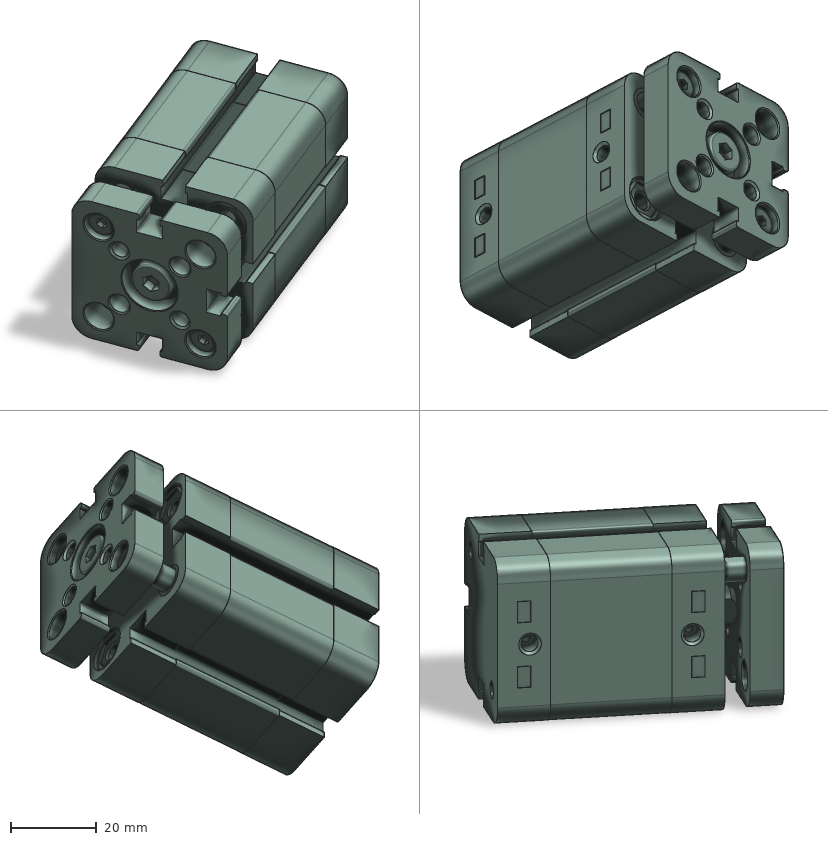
import cadquery as cq
import math


TOTAL_LENGTH = 68.0
PLATE_THICKNESS = 8.0
ROD_GAP = 6.0
CAP_LENGTH = 12.6

BODY_SIZE = 40.3
TUBE_SIZE = 40.25
PLATE_SIZE = 39.7
CORNER_RADIUS = 5.0

PLATE_FRONT = -TOTAL_LENGTH / 2
PLATE_BACK = PLATE_FRONT + PLATE_THICKNESS
BODY_FRONT = PLATE_BACK + ROD_GAP
TUBE_FRONT = BODY_FRONT + CAP_LENGTH
BODY_BACK = TOTAL_LENGTH / 2
TUBE_BACK = BODY_BACK - CAP_LENGTH

SLOT_FLOOR = 14.5
CAP_SLOT_FLOOR = 14.6
SLOT_LIP = 18.15
SLOT_WIDTH = 6.7
TUBE_NECK_WIDTH = 5.3
CAP_NECK_WIDTH = 5.7
MOUTH_ROUND = 0.7
LIP_ROUND = 0.35
FLOOR_ROUND = 0.35
SLOT_ANGLES = (0, 90, 180)

CORNER_OFFSET = 13.0
PIN_CORNERS = ((-CORNER_OFFSET, CORNER_OFFSET), (CORNER_OFFSET, -CORNER_OFFSET))
BOLT_CORNERS = ((CORNER_OFFSET, CORNER_OFFSET), (-CORNER_OFFSET, -CORNER_OFFSET))
PIN_DIAMETER = 6.0
PIN_SEAL_DIAMETER = 8.0
PIN_SEAL_DEPTH = 0.1
CORNER_BORE_DIAMETER = 7.5
CORNER_BORE_CHAMFER = 0.3
PIN_BORE_DEPTH = 6.0
PIN_SCREW_DIAMETER = 7.0
PIN_SCREW_RECESS = 1.8
PIN_SCREW_ROUND = 0.4
PIN_SCREW_HEX = 2.5

BOLT_HEAD_DIAMETER = 11.1
BOLT_HEAD_CHAMFER = 0.55
BOLT_HEX = 8.0
BOLT_HEAD_RECESS = 0.55
BOLT_SOCKET_FLOOR = 1.3
BOLT_BORE_DIAMETER = 4.15
BOLT_BORE_CHAMFER = 0.5

MOUNT_OFFSET = 7.75
THREAD_CORNERS = ((-MOUNT_OFFSET, MOUNT_OFFSET), (MOUNT_OFFSET, -MOUNT_OFFSET))
DOWEL_CORNERS = ((MOUNT_OFFSET, MOUNT_OFFSET), (-MOUNT_OFFSET, -MOUNT_OFFSET))
THREAD_DIAMETER = 4.15
DOWEL_DIAMETER = 5.0
THREAD_CHAMFER = 0.55
DOWEL_CHAMFER = 0.35

ROD_DIAMETER = 10.0
ROD_FLATS = 8.0
ROD_FLAT_LENGTH = 3.3
ROD_TIP_LENGTH = 1.35
ROD_TIP_ANGLE = 30
CENTRE_BORE_DIAMETER = 14.2
CENTRE_BORE_CHAMFER = 0.2
CENTRE_BORE_DEPTH = 5.0
CENTRE_SCREW_DIAMETER = 10.0
CENTRE_SCREW_RECESS = 0.8
CENTRE_SCREW_ROUND = 0.5
CENTRE_SCREW_HEX = 4.0
HEX_DEPTH_RATIO = 0.65
DRILL_HALF_ANGLE = 60

PORT_INSET = 7.7
PORT_DIAMETER = 4.0
PORT_CHAMFER = 0.7
PORT_DEPTH = 5.0
PORT_PASSAGE_DIAMETER = 2.0
PORT_PASSAGE_DEPTH = 8.0
PANEL_INSET = 6.3
PANEL_WIDTH = 3.1
PANEL_HEIGHT = 5.2
PANEL_OFFSET = 7.95
PANEL_DEPTH = 0.2


def plane_at(y):
    """Sketch plane across the axis at y: local x is X, local y is Z, its normal points to -Y."""
    return cq.Plane(origin=(0, y, 0), xDir=(1, 0, 0), normal=(0, -1, 0))


def cylinder(x, z, diameter, front, back):
    return cq.Workplane(plane_at(back)).center(x, z).circle(diameter / 2).extrude(back - front)


def cone(x, z, front_diameter, back_diameter, front, back):
    solid = cq.Solid.makeCone(
        front_diameter / 2, back_diameter / 2, back - front, cq.Vector(x, front, z), cq.Vector(0, 1, 0)
    )
    return cq.Workplane(solid)


def chamfered_hole(x, z, diameter, chamfer, front, back):
    """Round hole with a 45 degree chamfer at its front end."""
    lead_in = cone(x, z, diameter + 2 * chamfer, diameter, front, front + chamfer)
    return cylinder(x, z, diameter, front, back).union(lead_in)


def hexagon(x, z, across_flats, front, back, turn):
    corner_diameter = across_flats / math.cos(math.pi / 6)
    prism = cq.Workplane(plane_at(back)).polygon(6, corner_diameter).extrude(back - front)
    return prism.rotate((0, 0, 0), (0, 1, 0), turn).translate((x, 0, z))


def screw_head(x, z, diameter, rim_round, hex_size, front, back):
    """Cap screw head with a rounded rim and a hexagon socket that ends in a cone."""
    head = cylinder(x, z, diameter, front, back).faces("<Y").edges().fillet(rim_round)
    socket_end = front + hex_size * HEX_DEPTH_RATIO
    corner_diameter = hex_size / math.cos(math.pi / 6)
    socket_tip = socket_end + corner_diameter / 2 / math.tan(math.radians(DRILL_HALF_ANGLE))
    drill = cylinder(x, z, corner_diameter, front, socket_end)
    drill = drill.union(cone(x, z, corner_diameter, 0, socket_end, socket_tip))
    return head.cut(hexagon(x, z, hex_size, front, socket_tip, 30).intersect(drill))


def slot_cutter(size, neck_width, floor, front, back):
    """One T-slot on the +Z side of a square section, with rounded undersides of its lips."""
    top = size / 2
    neck = neck_width / 2
    half = SLOT_WIDTH / 2
    sketch = cq.Workplane(plane_at(back)).moveTo(-half, floor).lineTo(half, floor)
    sketch = sketch.lineTo(half, SLOT_LIP).lineTo(neck + LIP_ROUND, SLOT_LIP)
    sketch = sketch.radiusArc((neck, SLOT_LIP + LIP_ROUND), LIP_ROUND).lineTo(neck, top)
    sketch = sketch.lineTo(-neck, top).lineTo(-neck, SLOT_LIP + LIP_ROUND)
    sketch = sketch.radiusArc((-neck - LIP_ROUND, SLOT_LIP), LIP_ROUND).lineTo(-half, SLOT_LIP)
    return sketch.close().extrude(back - front)


def mouth_cutter(size, neck_width, front, back):
    """Widening of a slot mouth by two rounded lip edges."""
    top = size / 2
    neck = neck_width / 2
    rim = neck + MOUTH_ROUND
    shoulder = top - MOUTH_ROUND
    sketch = cq.Workplane(plane_at(back)).moveTo(-neck, shoulder).lineTo(neck, shoulder)
    sketch = sketch.radiusArc((rim, top), MOUTH_ROUND).lineTo(-rim, top)
    return sketch.radiusArc((-neck, shoulder), MOUTH_ROUND).close().extrude(back - front)


def slotted_block(size, slot, front, back):
    """Rounded square bar with the same slot on three sides."""
    block = cq.Workplane(plane_at(back)).rect(size, size).extrude(back - front)
    block = block.edges("|Y").fillet(CORNER_RADIUS)
    for angle in SLOT_ANGLES:
        block = block.cut(slot.rotate((0, 0, 0), (0, 1, 0), angle))
    return block


def profile_bar(size, front, back):
    """Bar with the rounded slots of the tube and the plate."""
    slot = slot_cutter(size, TUBE_NECK_WIDTH, SLOT_FLOOR, front, back)
    slot = slot.edges("|Y and <Z").fillet(FLOOR_ROUND)
    slot = slot.union(mouth_cutter(size, TUBE_NECK_WIDTH, front, back))
    return slotted_block(size, slot, front, back)


def end_cap(front, back):
    slot = slot_cutter(BODY_SIZE, CAP_NECK_WIDTH, CAP_SLOT_FLOOR, front, back)
    return slotted_block(BODY_SIZE, slot, front, back)


def port(y):
    """Air port drilled into the -X side at y."""
    def drill(diameter, depth):
        return cq.Workplane("YZ", origin=(-BODY_SIZE / 2, y, 0)).circle(diameter / 2).extrude(depth)

    mouth = cq.Workplane("YZ", origin=(-BODY_SIZE / 2, y, 0)).circle(PORT_DIAMETER / 2 + PORT_CHAMFER)
    mouth = mouth.extrude(PORT_CHAMFER, taper=45)
    passage = drill(PORT_PASSAGE_DIAMETER, PORT_PASSAGE_DEPTH)
    return drill(PORT_DIAMETER, PORT_DEPTH).union(mouth).union(passage)


def panel(y, z):
    """Shallow marking panel sunk into the -X side."""
    sketch = cq.Workplane("YZ", origin=(-BODY_SIZE / 2, y, z))
    return sketch.rect(PANEL_WIDTH, PANEL_HEIGHT).extrude(PANEL_DEPTH)


def cut_bolt(x, z, body):
    """Recess a hollow bolt into the front cap: chamfered head, hexagon socket and a bore to the back."""
    rim_diameter = BOLT_HEAD_DIAMETER - 2 * BOLT_HEAD_CHAMFER
    head_front = BODY_FRONT + BOLT_HEAD_RECESS
    rim_back = head_front + BOLT_HEAD_CHAMFER
    recess = cylinder(x, z, BOLT_HEAD_DIAMETER, BODY_FRONT, rim_back)
    recess = recess.cut(cone(x, z, rim_diameter, BOLT_HEAD_DIAMETER, head_front, rim_back))
    socket_floor = BODY_FRONT + BOLT_SOCKET_FLOOR
    body = body.cut(recess).cut(hexagon(x, z, BOLT_HEX, head_front, socket_floor, 0))
    return body.cut(chamfered_hole(x, z, BOLT_BORE_DIAMETER, BOLT_BORE_CHAMFER, socket_floor, BODY_BACK))


def make_body():
    body = profile_bar(TUBE_SIZE, TUBE_FRONT, TUBE_BACK)
    for front, back in ((BODY_FRONT, TUBE_FRONT), (TUBE_BACK, BODY_BACK)):
        body = body.union(end_cap(front, back))
    for x, z in BOLT_CORNERS:
        body = cut_bolt(x, z, body)
    for x, z in PIN_CORNERS:
        seal_floor = BODY_FRONT + PIN_SEAL_DEPTH
        body = body.cut(cylinder(x, z, PIN_SEAL_DIAMETER, BODY_FRONT, seal_floor))
    for port_y in (BODY_FRONT + PORT_INSET, BODY_BACK - PORT_INSET):
        body = body.cut(port(port_y))
    for panel_y in (BODY_FRONT + PANEL_INSET, BODY_BACK - PANEL_INSET):
        for panel_z in (-PANEL_OFFSET, PANEL_OFFSET):
            body = body.cut(panel(panel_y, panel_z))
    return body


def make_plate():
    plate = profile_bar(PLATE_SIZE, PLATE_FRONT, PLATE_BACK)
    for x, z in THREAD_CORNERS:
        plate = plate.cut(chamfered_hole(x, z, THREAD_DIAMETER, THREAD_CHAMFER, PLATE_FRONT, PLATE_BACK))
    for x, z in DOWEL_CORNERS:
        plate = plate.cut(chamfered_hole(x, z, DOWEL_DIAMETER, DOWEL_CHAMFER, PLATE_FRONT, PLATE_BACK))
    for x, z in BOLT_CORNERS:
        plate = plate.cut(
            chamfered_hole(x, z, CORNER_BORE_DIAMETER, CORNER_BORE_CHAMFER, PLATE_FRONT, PLATE_BACK)
        )

    for x, z in PIN_CORNERS:
        bore_floor = PLATE_FRONT + PIN_BORE_DEPTH
        plate = plate.cut(
            chamfered_hole(x, z, CORNER_BORE_DIAMETER, CORNER_BORE_CHAMFER, PLATE_FRONT, bore_floor)
        )
        head_front = PLATE_FRONT + PIN_SCREW_RECESS
        plate = plate.union(
            screw_head(x, z, PIN_SCREW_DIAMETER, PIN_SCREW_ROUND, PIN_SCREW_HEX, head_front, bore_floor)
        )

    centre_floor = PLATE_FRONT + CENTRE_BORE_DEPTH
    plate = plate.cut(
        chamfered_hole(0, 0, CENTRE_BORE_DIAMETER, CENTRE_BORE_CHAMFER, PLATE_FRONT, centre_floor)
    )
    head_front = PLATE_FRONT + CENTRE_SCREW_RECESS
    return plate.union(
        screw_head(
            0, 0, CENTRE_SCREW_DIAMETER, CENTRE_SCREW_ROUND, CENTRE_SCREW_HEX, head_front, centre_floor
        )
    )


def make_rod():
    """Piston rod in the gap, with a tapered tip and two wrench flats facing +X and -X."""
    tip_back = PLATE_BACK + ROD_TIP_LENGTH
    tip_diameter = ROD_DIAMETER - 2 * ROD_TIP_LENGTH * math.tan(math.radians(ROD_TIP_ANGLE))
    rod = cylinder(0, 0, ROD_DIAMETER, tip_back, BODY_FRONT)
    rod = rod.union(cone(0, 0, tip_diameter, ROD_DIAMETER, PLATE_BACK, tip_back))

    flat_end = PLATE_BACK + ROD_FLAT_LENGTH
    flat_x = ROD_FLATS / 2
    runout = ROD_DIAMETER - flat_x
    flat_outline = [
        (flat_x, PLATE_BACK),
        (flat_x, flat_end),
        (flat_x + runout, flat_end + runout),
        (flat_x + runout, PLATE_BACK),
    ]
    flat = cq.Workplane("XY").polyline(flat_outline).close().extrude(ROD_DIAMETER / 2, both=True)
    return rod.cut(flat).cut(flat.mirror("YZ"))


result = make_body().union(make_rod()).union(make_plate())
for pin_x, pin_z in PIN_CORNERS:
    pin_end = BODY_FRONT + PIN_SEAL_DEPTH
    result = result.union(cylinder(pin_x, pin_z, PIN_DIAMETER, PLATE_BACK, pin_end))